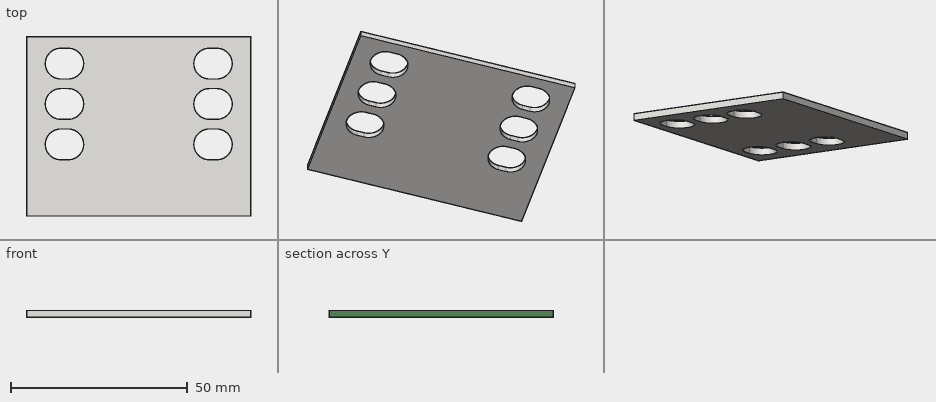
import cadquery as cq

length = 63.5
width = 50.8
thickness = 2.0

slot_length = 10.8
slot_width = 8.65
slots_per_column = 3
slot_pitch = 11.4
column_spacing = 42.05
first_slot_from_edge = 7.6

slot_centers = [
    (side * column_spacing / 2, width / 2 - first_slot_from_edge - row * slot_pitch)
    for side in (-1, 1)
    for row in range(slots_per_column)
]

plate = cq.Workplane("XY").box(length, width, thickness)

result = (
    plate.faces(">Z")
    .workplane()
    .pushPoints(slot_centers)
    .slot2D(slot_length, slot_width)
    .cutThruAll()
)